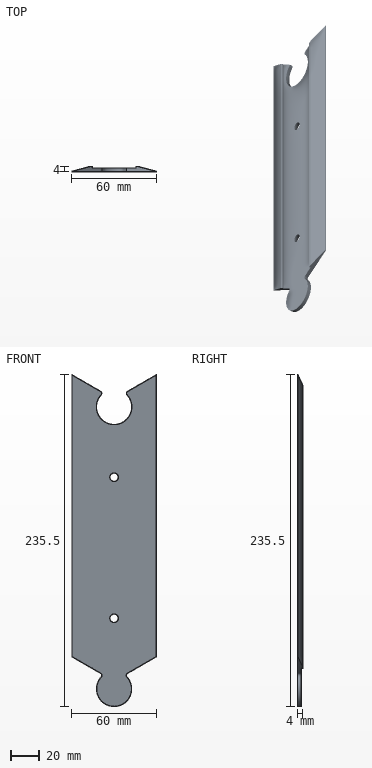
import cadquery as cq
import math

width = 60.0
total_length = 235.5
thickness = 4.0
edge_thickness = 0.5
bevel_angle = 15.0
channel_width = 30.9
channel_depth = 1.2
point_angle = 30.0
knob_radius = 12.5
knob_offset = 22.8
throat_radius = 1.6
hole_diameter = 6.0
hole_spacing = 100.0
upper_hole_drop = 72.8

half_width = width / 2
side_length = total_length - knob_offset - knob_radius
slant_sin = math.sin(math.radians(point_angle))
slant_cos = math.cos(math.radians(point_angle))


def cross_section():
    """Plate profile in XY: flat front, bevelled sides, channel in the back."""
    bevel_run = (thickness - edge_thickness) / math.tan(math.radians(bevel_angle))
    crest = half_width - bevel_run
    channel_half = channel_width / 2
    channel_floor = thickness - channel_depth
    right_half = [
        (half_width, 0),
        (half_width, edge_thickness),
        (crest, thickness),
        (channel_half, thickness),
        (channel_half, channel_floor),
    ]
    left_half = [(-x, y) for x, y in reversed(right_half)]
    return cq.Workplane("XY").polyline(right_half + left_half).close()


def end_points(corner_z):
    """Right-hand points of a slanted end whose outer corner lies at corner_z.

    Returns the start, middle and end of the throat arc, which is tangent to
    both the slanted edge and the knob circle, and the tip of the knob.
    """
    centre_z = corner_z - knob_offset
    slant_mid_z = corner_z - half_width * slant_sin / slant_cos
    slant_gap = (slant_mid_z - centre_z) * slant_cos
    across = slant_gap - throat_radius
    along = math.sqrt((knob_radius + throat_radius) ** 2 - across ** 2)
    arc_x = along * slant_cos - across * slant_sin
    arc_z = centre_z + along * slant_sin + across * slant_cos
    slant_point = (arc_x - throat_radius * slant_sin, arc_z + throat_radius * slant_cos)
    throat_point = (arc_x - throat_radius, arc_z)
    knob_share = knob_radius / (knob_radius + throat_radius)
    knob_point = (arc_x * knob_share, centre_z + (arc_z - centre_z) * knob_share)
    return slant_point, throat_point, knob_point, (0, centre_z - knob_radius)


def mirrored(point):
    return (-point[0], point[1])


def outline():
    """Front outline in XZ: socket at the top, matching knob at the bottom."""
    upper_slant, upper_throat, upper_knob, socket_bottom = end_points(side_length)
    lower_slant, lower_throat, lower_knob, knob_bottom = end_points(0)
    return (
        cq.Workplane("XZ")
        .moveTo(half_width, 0)
        .lineTo(half_width, side_length)
        .lineTo(*upper_slant)
        .threePointArc(upper_throat, upper_knob)
        .threePointArc(socket_bottom, mirrored(upper_knob))
        .threePointArc(mirrored(upper_throat), mirrored(upper_slant))
        .lineTo(-half_width, side_length)
        .lineTo(-half_width, 0)
        .lineTo(*mirrored(lower_slant))
        .threePointArc(mirrored(lower_throat), mirrored(lower_knob))
        .threePointArc(knob_bottom, lower_knob)
        .threePointArc(lower_throat, lower_slant)
        .close()
    )


def holes():
    upper_z = side_length - upper_hole_drop
    centres = [(0, upper_z), (0, upper_z - hole_spacing)]
    return cq.Workplane("XZ").pushPoints(centres).circle(hole_diameter / 2).extrude(-thickness)


bar = cross_section().extrude(total_length).translate((0, 0, side_length - total_length))
result = bar.intersect(outline().extrude(-thickness)).cut(holes())